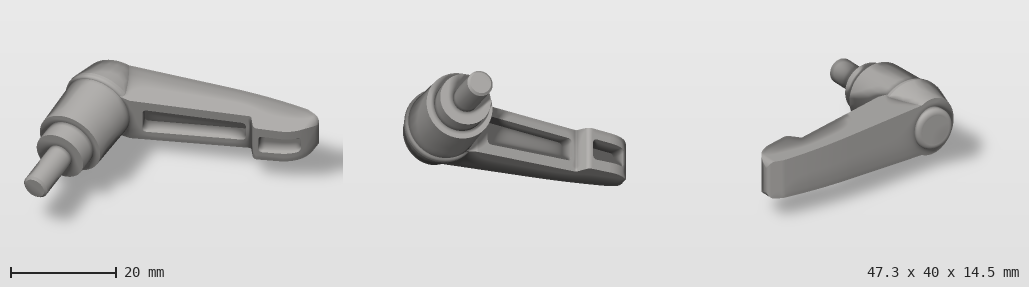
import cadquery as cq
import math


stud_diameter = 5
stud_length = 10
stud_chamfer = 0.45
collar_diameter = 10
collar_height = 4
barrel_bottom_radius = 6.5
barrel_top_radius = 6.8
barrel_top_y = 15
flange_radius = 7.25
flange_edge_radius = 0.75
flange_top_y = 16.3
cone_angle = math.radians(14)
cone_height = 10

head_diameter = 8.2
head_top_y = 24.5
head_side_top_y = 23.6
head_shoulder_radius = 3.8
head_shoulder_y = 24.2
head_flat_radius = 2.9

top_angle = math.radians(13)
top_y_at_axis = 22.74

underside_angle = math.radians(20)
underside_start_x = 6.85
bow_start_x = 21.5
bow_radius = 100
bow_end_x = 31.3
crest_x = 37
crest_y = 30.02
crest_edge_radius = 2
tip_x = 40.02
tip_slope = math.radians(-14)
tip_edge_radius = 0.8
step_x = 28.65
step_angle = math.radians(-54)
step_edge_radius = 0.4
pad_edge_radius = 1
pad_depth = 3
pad_end_x = 35.2

arm_half_width_at_axis = 5.15
side_taper = math.tan(math.radians(2))
tip_corner_radius = 1.5

pocket_wall = 2
pocket_corner_radius = 0.8
arm_pocket_start_x = 9.1
arm_pocket_end_x = 27.7
arm_pocket_depth = 3.1
tip_pocket_start_x = 31.35
tip_pocket_end_x = 38.9
tip_pocket_depth = 4.4


def top_y(x):
    return top_y_at_axis + x * math.tan(top_angle)


def underside_y(x):
    return barrel_top_y + (x - underside_start_x) * math.tan(underside_angle)


def pad_y(x):
    return underside_y(x) - pad_depth / math.cos(underside_angle)


def arm_half_width(x):
    return arm_half_width_at_axis - x * side_taper


def make_stud():
    stud = cq.Workplane("XZ").circle(stud_diameter / 2).extrude(stud_length)
    return stud.faces("<Y").chamfer(stud_chamfer)


def make_collar():
    return cq.Workplane("XZ").circle(collar_diameter / 2).extrude(-collar_height)


def make_hub():
    cone_top_radius = flange_radius - cone_height * math.tan(cone_angle)
    edge_drop = flange_edge_radius * math.sqrt(0.5)
    edge_center_x = flange_radius - flange_edge_radius
    edge_center_y = barrel_top_y + flange_edge_radius
    hub = (
        cq.Workplane("XY")
        .moveTo(0, collar_height)
        .lineTo(barrel_bottom_radius, collar_height)
        .lineTo(barrel_top_radius, barrel_top_y)
        .lineTo(edge_center_x, barrel_top_y)
        .threePointArc(
            (edge_center_x + edge_drop, edge_center_y - edge_drop),
            (flange_radius, edge_center_y),
        )
        .lineTo(flange_radius, flange_top_y)
        .lineTo(cone_top_radius, flange_top_y + cone_height)
        .lineTo(0, flange_top_y + cone_height)
        .close()
        .revolve(360, (0, 0, 0), (0, 1, 0))
    )
    below_top = (
        cq.Workplane("XY")
        .moveTo(-flange_radius, 0)
        .lineTo(flange_radius, 0)
        .lineTo(flange_radius, top_y(flange_radius))
        .lineTo(-flange_radius, top_y(-flange_radius))
        .close()
        .extrude(flange_radius, both=True)
    )
    return hub.intersect(below_top)


def make_head():
    head_radius = head_diameter / 2
    return (
        cq.Workplane("XY")
        .moveTo(0, barrel_top_y)
        .lineTo(head_radius, barrel_top_y)
        .lineTo(head_radius, head_side_top_y)
        .threePointArc((head_shoulder_radius, head_shoulder_y), (head_flat_radius, head_top_y))
        .lineTo(0, head_top_y)
        .close()
        .revolve(360, (0, 0, 0), (0, 1, 0))
    )


def round_edge(body, x, y, radius):
    margin = 0.01
    box = cq.selectors.BoxSelector((x - margin, y - margin, -margin), (x + margin, y + margin, margin))
    return body.edges("|Z").edges(box).fillet(radius)


def make_arm():
    bow_center_x = bow_start_x + bow_radius * math.sin(top_angle)
    bow_center_y = top_y(bow_start_x) - bow_radius * math.cos(top_angle)

    def bow_point(x):
        rise = math.sqrt(bow_radius ** 2 - (x - bow_center_x) ** 2)
        return (x, bow_center_y + rise)

    bow_middle = bow_point((bow_start_x + bow_end_x) / 2)
    bow_end = bow_point(bow_end_x)

    chord_x = crest_x - bow_end[0]
    chord_y = crest_y - bow_end[1]
    end_slope = math.asin((bow_center_x - bow_end_x) / bow_radius)
    half_bend = end_slope - math.atan2(chord_y, chord_x)
    rise_ratio = math.tan(half_bend / 2) / 2
    crown_middle = (
        bow_end[0] + chord_x / 2 - chord_y * rise_ratio,
        bow_end[1] + chord_y / 2 + chord_x * rise_ratio,
    )

    tip_top_y = crest_y + (tip_x - crest_x) * math.tan(tip_slope)

    step_length = pad_depth / math.sin(underside_angle - step_angle)
    pad_start_x = step_x + step_length * math.cos(step_angle)

    arm = (
        cq.Workplane("XY")
        .moveTo(0, barrel_top_y)
        .lineTo(underside_start_x, barrel_top_y)
        .lineTo(step_x, underside_y(step_x))
        .lineTo(pad_start_x, pad_y(pad_start_x))
        .lineTo(pad_end_x, pad_y(pad_end_x))
        .tangentArcPoint((tip_x, tip_top_y), relative=False)
        .lineTo(crest_x, crest_y)
        .threePointArc(crown_middle, bow_end)
        .threePointArc(bow_middle, (bow_start_x, top_y(bow_start_x)))
        .lineTo(0, top_y(0))
        .close()
        .extrude(flange_radius, both=True)
    )

    arm = round_edge(arm, crest_x, crest_y, crest_edge_radius)
    arm = round_edge(arm, tip_x, tip_top_y, tip_edge_radius)
    arm = round_edge(arm, step_x, underside_y(step_x), step_edge_radius)
    arm = round_edge(arm, pad_start_x, pad_y(pad_start_x), pad_edge_radius)

    return arm.intersect(make_arm_width())


def make_arm_width():
    width = (
        cq.Workplane("XZ")
        .moveTo(0, -arm_half_width(0))
        .lineTo(tip_x, -arm_half_width(tip_x))
        .lineTo(tip_x, arm_half_width(tip_x))
        .lineTo(0, arm_half_width(0))
        .close()
        .extrude(-2 * tip_x)
    )
    return width.faces(">X").edges("|Y").fillet(tip_corner_radius)


def make_pocket(start, end, depth):
    along = (math.cos(underside_angle), math.sin(underside_angle), 0)
    inward = (-math.sin(underside_angle), math.cos(underside_angle), 0)
    length = (end[0] - start[0]) * along[0] + (end[1] - start[1]) * along[1]
    start_half_width = arm_half_width(start[0]) - pocket_wall
    end_half_width = arm_half_width(end[0]) - pocket_wall
    mouth = cq.Plane(origin=(start[0], start[1], 0), xDir=along, normal=inward)
    pocket = (
        cq.Workplane(mouth)
        .moveTo(0, -start_half_width)
        .lineTo(length, -end_half_width)
        .lineTo(length, end_half_width)
        .lineTo(0, start_half_width)
        .close()
        .extrude(depth)
    )
    corners = cq.selectors.ParallelDirSelector(cq.Vector(*inward))
    return pocket.edges(corners).fillet(pocket_corner_radius)


def make_arm_pocket():
    start = (arm_pocket_start_x, underside_y(arm_pocket_start_x))
    end = (arm_pocket_end_x, underside_y(arm_pocket_end_x))
    return make_pocket(start, end, arm_pocket_depth)


def make_tip_pocket():
    start = (tip_pocket_start_x, pad_y(tip_pocket_start_x))
    end = (tip_pocket_end_x, pad_y(tip_pocket_end_x))
    return make_pocket(start, end, tip_pocket_depth)


result = (
    make_stud()
    .union(make_collar())
    .union(make_hub())
    .union(make_head())
    .union(make_arm())
    .cut(make_arm_pocket())
    .cut(make_tip_pocket())
)